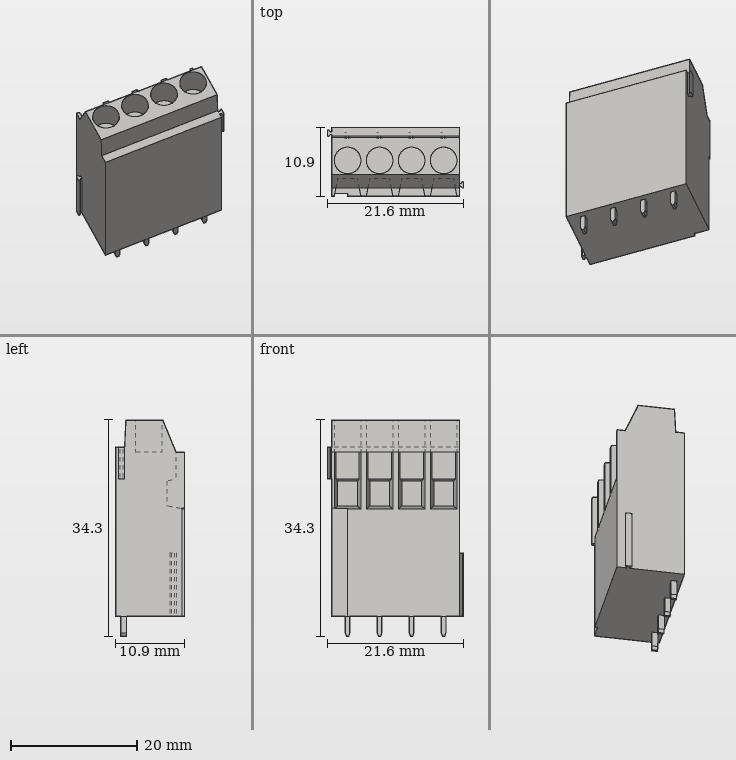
import cadquery as cq

POLES = 4
PITCH = 5.08

WIDTH = POLES * PITCH
DEPTH = 10.95
HEIGHT = 31.1
LEDGE_DEPTH = 1.35
LEDGE_DROP = 5.08
SLOPE_TOP_Y = 3.43
BACK_TOP_Y = 9.33
BACK_STEP_Y = 9.55
BACK_STEP_DROP = 4.3
LEDGE_ROUND = 0.17
LEDGE_Z = HEIGHT - LEDGE_DROP
BACK_STEP_Z = HEIGHT - BACK_STEP_DROP

SCREW_DIAMETER = 4.22
SCREW_Y = 5.7
SCREW_DEPTH = LEDGE_DROP

POCKET_WIDTH = 4.22
POCKET_END_WIDTH = 3.12
POCKET_DEPTH = 2.8
UPPER_DEPTH = LEDGE_DEPTH
POCKET_FLOOR_Z = 17.0
FLOOR_RISE = 0.5
CEILING_Z = 21.78
CEILING_DROP = 0.3

RELIEF_WIDTH = PITCH / 2
RELIEF_DEPTH = 0.45
RELIEF_HEIGHT = 17.2

RAIL_REACH = 0.65
RAIL_WIDTH = 1.0
RAIL_RIM = 0.2
RAIL_NECK_WIDTH = 0.48
RAIL_ROUND = 0.1
RAIL_NECK_LENGTH = RAIL_REACH - RAIL_RIM - (RAIL_WIDTH - RAIL_NECK_WIDTH) / 2
RIGHT_RAIL_LENGTH = 10.0
LEFT_RAIL_LENGTH = RIGHT_RAIL_LENGTH / 2
LEFT_RAIL_Y = 10.0
RIGHT_RAIL_Y = 1.82

PIN_WIDTH = 0.75
PIN_THICKNESS = 0.93
PIN_LENGTH = 3.2
PIN_Y = 9.67
PIN_TIP_WIDTH = 0.35
PIN_TIP_LENGTH = 0.6

POLE_CENTRES = [PITCH * (pole + 0.5) for pole in range(POLES)]


def make_block():
    """Side outline across the full width, with the front ledge edge rounded."""
    outline = [
        (0, 0),
        (DEPTH, 0),
        (DEPTH, BACK_STEP_Z),
        (BACK_STEP_Y, BACK_STEP_Z),
        (BACK_TOP_Y, HEIGHT),
        (SLOPE_TOP_Y, HEIGHT),
        (LEDGE_DEPTH, LEDGE_Z),
        (0, LEDGE_Z),
    ]
    block = cq.Workplane("YZ").polyline(outline).close().extrude(WIDTH)
    ledge_edge = cq.selectors.NearestToPointSelector((WIDTH / 2, 0, LEDGE_Z))
    return block.edges(ledge_edge).fillet(LEDGE_ROUND)


def make_relief():
    """Shallow step in the front face, from the underside up to the pockets."""
    return cq.Workplane("XY").box(RELIEF_WIDTH, RELIEF_DEPTH, RELIEF_HEIGHT, centered=False)


def make_screw_hole(x):
    return (
        cq.Workplane("XY", origin=(x, SCREW_Y, HEIGHT - SCREW_DEPTH))
        .circle(SCREW_DIAMETER / 2)
        .extrude(SCREW_DEPTH)
    )


def make_wire_pocket(x):
    """Pocket narrowing inwards: shallow and open above, deeper below a sloped ceiling."""
    side = [
        (0, POCKET_FLOOR_Z),
        (POCKET_DEPTH, POCKET_FLOOR_Z + FLOOR_RISE),
        (POCKET_DEPTH, CEILING_Z - CEILING_DROP),
        (UPPER_DEPTH, CEILING_Z),
        (UPPER_DEPTH, HEIGHT),
        (0, HEIGHT),
    ]
    plan = [
        (x - POCKET_WIDTH / 2, 0),
        (x + POCKET_WIDTH / 2, 0),
        (x + POCKET_END_WIDTH / 2, POCKET_DEPTH),
        (x - POCKET_END_WIDTH / 2, POCKET_DEPTH),
    ]
    side_prism = cq.Workplane("YZ").polyline(side).close().extrude(WIDTH)
    plan_prism = cq.Workplane("XY").polyline(plan).close().extrude(HEIGHT)
    return side_prism.intersect(plan_prism)


def make_rail(face_x, outward, y, bottom_z, length):
    """Vertical dovetail rail on a side face; outward is -1 on the left and +1 on the right."""
    neck_x = face_x + outward * RAIL_NECK_LENGTH
    rim_x = face_x + outward * (RAIL_REACH - RAIL_RIM)
    outer_x = face_x + outward * RAIL_REACH
    outline = [
        (face_x, y - RAIL_NECK_WIDTH / 2),
        (neck_x, y - RAIL_NECK_WIDTH / 2),
        (rim_x, y - RAIL_WIDTH / 2),
        (outer_x, y - RAIL_WIDTH / 2),
        (outer_x, y + RAIL_WIDTH / 2),
        (rim_x, y + RAIL_WIDTH / 2),
        (neck_x, y + RAIL_NECK_WIDTH / 2),
        (face_x, y + RAIL_NECK_WIDTH / 2),
    ]
    rail = cq.Workplane("XY", origin=(0, 0, bottom_z)).polyline(outline).close().extrude(length)
    middle_z = bottom_z + length / 2
    for side in (-1, 1):
        rim_corner = (outer_x, y + side * RAIL_WIDTH / 2, middle_z)
        rail = rail.edges(cq.selectors.NearestToPointSelector(rim_corner)).fillet(RAIL_ROUND)
    return rail


def make_housing():
    housing = make_block().cut(make_relief())
    for x in POLE_CENTRES:
        housing = housing.cut(make_screw_hole(x)).cut(make_wire_pocket(x))
    left_rail = make_rail(0, -1, LEFT_RAIL_Y, BACK_STEP_Z - LEFT_RAIL_LENGTH, LEFT_RAIL_LENGTH)
    right_rail = make_rail(WIDTH, 1, RIGHT_RAIL_Y, 0, RIGHT_RAIL_LENGTH)
    return housing.union(left_rail).union(right_rail)


def make_pin(x):
    """Flat pin hanging from the underside, its two sides tapered at the tip."""
    shoulder_z = PIN_TIP_LENGTH - PIN_LENGTH
    outline = [
        (x - PIN_WIDTH / 2, 0),
        (x - PIN_WIDTH / 2, shoulder_z),
        (x - PIN_TIP_WIDTH / 2, -PIN_LENGTH),
        (x + PIN_TIP_WIDTH / 2, -PIN_LENGTH),
        (x + PIN_WIDTH / 2, shoulder_z),
        (x + PIN_WIDTH / 2, 0),
    ]
    back_y = PIN_Y + PIN_THICKNESS / 2
    return cq.Workplane("XZ", origin=(0, back_y, 0)).polyline(outline).close().extrude(PIN_THICKNESS)


housing = make_housing()
pins = [make_pin(x) for x in POLE_CENTRES]

result = cq.Compound.makeCompound([housing.val(), *[pin.val() for pin in pins]])